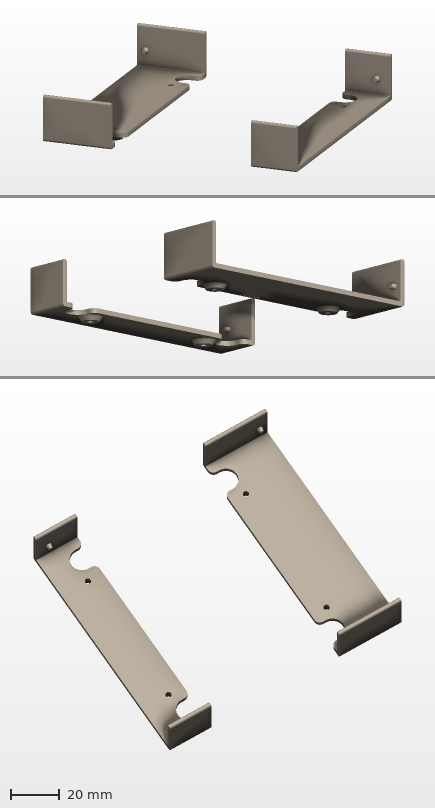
import cadquery as cq

OVERALL_LENGTH = 112.0
BRACKET_SPAN = 105.5
LEFT_WIDTH = 30.0
RIGHT_WIDTH = 20.0

PLATE_THICKNESS = 2.0
WALL_HEIGHT = 19.9
OUTER_BEND_ROUND = 1.0
INNER_BEND_ROUND = 0.3

HOLE_DIAMETER = 2.6
HOLE_OFFSET_Y = 31.1
HOLE_FROM_INNER_EDGE = 7.3
FOOT_HEIGHT = 2.0
FOOT_TOP_DIAMETER = 10.3
FOOT_BOTTOM_DIAMETER = 7.6

NOTCH_WIDTH = 10.2
NOTCH_DEPTH = 9.0
NOTCH_OFFSET_Y = 41.1
NOTCH_CORNER_ROUND = 2.6

PIN_BASE_DIAMETER = 2.8
PIN_LENGTH = 2.0
PIN_TIP_DIAMETER = 1.8
LEFT_PIN_INSET = 3.9
RIGHT_PIN_INSET = 5.9
PIN_HEIGHT = 8.8

SIDES_Y = (-1, 1)
INNER_FACE_Y = BRACKET_SPAN / 2 - PLATE_THICKNESS


def bent_plate(width):
    """U-shaped sheet with fully rounded wall tops, outer edge at X = 0, inner edge at X = width."""
    outer_y = BRACKET_SPAN / 2
    tip_round = PLATE_THICKNESS / 2
    tip_y = outer_y - tip_round
    tip_base_z = WALL_HEIGHT - tip_round
    plate = (
        cq.Workplane("YZ")
        .moveTo(-outer_y, 0)
        .lineTo(outer_y, 0)
        .lineTo(outer_y, tip_base_z)
        .threePointArc((tip_y, WALL_HEIGHT), (INNER_FACE_Y, tip_base_z))
        .lineTo(INNER_FACE_Y, PLATE_THICKNESS)
        .lineTo(-INNER_FACE_Y, PLATE_THICKNESS)
        .lineTo(-INNER_FACE_Y, tip_base_z)
        .threePointArc((-tip_y, WALL_HEIGHT), (-outer_y, tip_base_z))
        .close()
        .extrude(width)
    )
    plate = plate.edges("|X and <Z").fillet(OUTER_BEND_ROUND)
    inner_low = (0, -BRACKET_SPAN / 2, PLATE_THICKNESS / 2)
    inner_high = (width, BRACKET_SPAN / 2, WALL_HEIGHT / 2)
    inner_corners = plate.edges("|X").edges(cq.selectors.BoxSelector(inner_low, inner_high))
    return inner_corners.fillet(INNER_BEND_ROUND)


def notch(width, side):
    """Cutter for one round-ended notch."""
    radius = NOTCH_WIDTH / 2
    centre_x = width - NOTCH_DEPTH + radius
    centre_y = side * NOTCH_OFFSET_Y
    return (
        cq.Workplane("XY")
        .moveTo(width, centre_y - radius)
        .lineTo(centre_x, centre_y - radius)
        .threePointArc((width - NOTCH_DEPTH, centre_y), (centre_x, centre_y + radius))
        .lineTo(width, centre_y + radius)
        .close()
        .extrude(PLATE_THICKNESS)
    )


def round_notch_mouths(bracket, width):
    """Round the upright corners where the notches meet the inner edge of the plate."""
    zone_low = (0, -INNER_FACE_Y, 0)
    zone_high = (width + PLATE_THICKNESS, INNER_FACE_Y, PLATE_THICKNESS)
    zone = cq.selectors.BoxSelector(zone_low, zone_high)
    return bracket.edges("|Z and >X").edges(zone).fillet(NOTCH_CORNER_ROUND)


def foot(x, y):
    """Tapered foot hanging below the plate."""
    return (
        cq.Workplane("XY", origin=(x, y, 0))
        .circle(FOOT_TOP_DIAMETER / 2)
        .workplane(offset=-FOOT_HEIGHT)
        .circle(FOOT_BOTTOM_DIAMETER / 2)
        .loft()
    )


def bolt_hole(x, y):
    """Cutter for a hole through the plate and its foot."""
    return (
        cq.Workplane("XY", origin=(x, y, -FOOT_HEIGHT))
        .circle(HOLE_DIAMETER / 2)
        .extrude(FOOT_HEIGHT + PLATE_THICKNESS)
    )


def pin(inset, side):
    """Tapered pin on one end wall, pointing towards the middle of the bracket."""
    return (
        cq.Workplane("XZ", origin=(inset, side * INNER_FACE_Y, PIN_HEIGHT))
        .circle(PIN_BASE_DIAMETER / 2)
        .workplane(offset=side * PIN_LENGTH)
        .circle(PIN_TIP_DIAMETER / 2)
        .loft()
    )


def make_bracket(width, pin_inset):
    """Complete bracket with its inner edge towards +X."""
    bracket = bent_plate(width)
    for side in SIDES_Y:
        bracket = bracket.cut(notch(width, side))
    bracket = round_notch_mouths(bracket, width)
    hole_x = width - HOLE_FROM_INNER_EDGE
    for side in SIDES_Y:
        bracket = bracket.union(foot(hole_x, side * HOLE_OFFSET_Y))
        bracket = bracket.cut(bolt_hole(hole_x, side * HOLE_OFFSET_Y))
        bracket = bracket.union(pin(pin_inset, side))
    return bracket


half_length = OVERALL_LENGTH / 2
left_bracket = make_bracket(LEFT_WIDTH, LEFT_PIN_INSET).translate((-half_length, 0, 0))
right_bracket = make_bracket(RIGHT_WIDTH, RIGHT_PIN_INSET).mirror("YZ").translate((half_length, 0, 0))

result = cq.Compound.makeCompound([left_bracket.solids().val(), right_bracket.solids().val()])